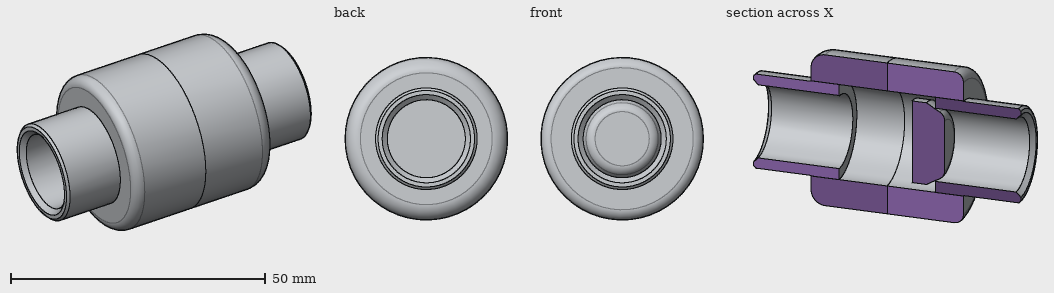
import cadquery as cq
import math

TOTAL_LENGTH = 56.0
SHELL_DIAMETER = 32.0
SHELL_PAIR_LENGTH = 32.0
FRONT_SHELL_FILLET = 2.0
REAR_SHELL_FILLET = 3.0

PIPE_DIAMETER = 20.0
PIPE_BORE_DIAMETER = 15.35
PIPE_RIM_CHAMFER = 0.5
PIPE_MOUTH_CHAMFER = 1.0
PIPE_INSERTION = 6.0

POPPET_TIP_DIAMETER = 13.0
POPPET_TIP_FILLET = 2.0
POPPET_HALF_ANGLE = 30.0
POPPET_DIAMETER = 17.35
POPPET_SKIRT_LENGTH = 3.0

FRONT = -1
REAR = 1
END_Y = TOTAL_LENGTH / 2
SHELL_LENGTH = SHELL_PAIR_LENGTH / 2
PIPE_RADIUS = PIPE_DIAMETER / 2
PIPE_BORE_RADIUS = PIPE_BORE_DIAMETER / 2
PIPE_INNER_Y = SHELL_LENGTH - PIPE_INSERTION


def revolve_about_y(profile):
    """Turn a closed half profile, drawn as radius against Y, into a solid about the Y axis."""
    return profile.revolve(360, (0, 0, 0), (0, 1, 0))


def make_shell(side, fillet):
    """Half of the housing: a thick sleeve with a rounded outer end and a straight bore for its pipe."""
    shell_radius = SHELL_DIAMETER / 2
    return revolve_about_y(
        cq.Workplane("XY")
        .moveTo(PIPE_RADIUS, 0)
        .lineTo(shell_radius, 0)
        .lineTo(shell_radius, side * (SHELL_LENGTH - fillet))
        .radiusArc((shell_radius - fillet, side * SHELL_LENGTH), side * -fillet)
        .lineTo(PIPE_RADIUS, side * SHELL_LENGTH)
        .close()
    )


def make_pipe(side):
    """Connection pipe with a chamfered rim and a countersunk mouth at its outer end."""
    mouth_radius = PIPE_BORE_RADIUS + PIPE_MOUTH_CHAMFER
    return revolve_about_y(
        cq.Workplane("XY")
        .moveTo(PIPE_BORE_RADIUS, side * PIPE_INNER_Y)
        .lineTo(PIPE_RADIUS, side * PIPE_INNER_Y)
        .lineTo(PIPE_RADIUS, side * (END_Y - PIPE_RIM_CHAMFER))
        .lineTo(PIPE_RADIUS - PIPE_RIM_CHAMFER, side * END_Y)
        .lineTo(mouth_radius, side * END_Y)
        .lineTo(PIPE_BORE_RADIUS, side * (END_Y - PIPE_MOUTH_CHAMFER))
        .close()
    )


def make_poppet():
    """Valve poppet: a blunt cone that rests on the inner edge of the front pipe, with a short skirt."""
    tip_radius = POPPET_TIP_DIAMETER / 2
    poppet_radius = POPPET_DIAMETER / 2
    slope = math.tan(math.radians(POPPET_HALF_ANGLE))
    tip_y = -PIPE_INNER_Y - (PIPE_BORE_RADIUS - tip_radius) / slope
    cone_end_y = tip_y + (poppet_radius - tip_radius) / slope
    back_y = cone_end_y + POPPET_SKIRT_LENGTH
    blank = revolve_about_y(
        cq.Workplane("XY")
        .moveTo(0, tip_y)
        .lineTo(tip_radius, tip_y)
        .lineTo(poppet_radius, cone_end_y)
        .lineTo(poppet_radius, back_y)
        .lineTo(0, back_y)
        .close()
    )
    return blank.faces("<Y").edges().fillet(POPPET_TIP_FILLET)


front_shell = make_shell(FRONT, FRONT_SHELL_FILLET)
rear_shell = make_shell(REAR, REAR_SHELL_FILLET)
pipes = [make_pipe(side) for side in (FRONT, REAR)]
poppet = make_poppet()

result = cq.Compound.makeCompound(
    [front_shell.val(), rear_shell.val(), *(pipe.val() for pipe in pipes), poppet.val()]
)